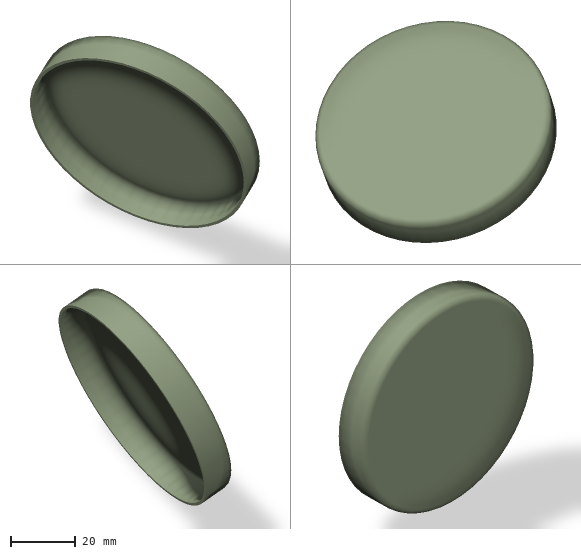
import cadquery as cq

outer_diameter = 74.8
inner_diameter = 72.8
cap_depth = 11.0

wall = (outer_diameter - inner_diameter) / 2
floor_thickness = wall
inner_fillet = wall
outer_fillet = inner_fillet + wall


def rounded_disc(diameter, depth, fillet):
    """Disc centred on the Y axis from Y = 0 to Y = depth, rounded at its +Y rim."""
    disc = cq.Workplane("XZ").circle(diameter / 2).extrude(-depth)
    return disc.faces(">Y").edges().fillet(fillet)


body = rounded_disc(outer_diameter, cap_depth, outer_fillet)
cavity = rounded_disc(inner_diameter, cap_depth - floor_thickness, inner_fillet)

result = body.cut(cavity)